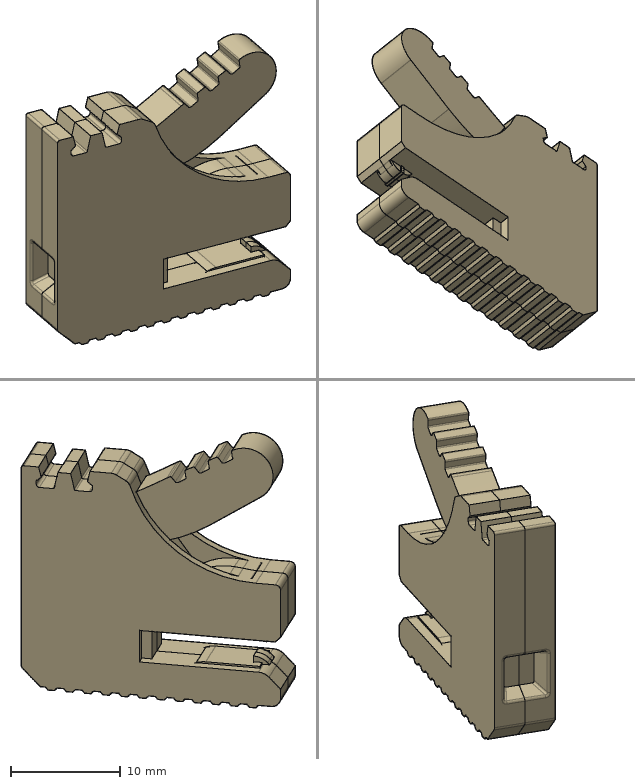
import cadquery as cq
import math


WIDTH = 6.0
LENGTH = 24.42
BODY_TOP = 21.95
INNER_WIDTH = 4.0
BUMP_WIDTH = 2.0
DIAGONAL = math.sqrt(0.5)

FOOT_Z = 0.27
TOE_CHAMFER = 1.8
TOE_RADIUS = 0.4
FRONT_TOP_RADIUS = 0.25
LEDGE_Z = 12.32
LEDGE_RADIUS = 0.5
HEEL_RADIUS = 0.9
SCOOP_RADIUS = 12.5
SCOOP_START_Y = 22.1
SCOOP_END_Y = 10.15
SHOULDER_Y = 8.75
SHOULDER_RADIUS = 1.0
BROW_RADIUS = 0.8

SLOT_TOP = 6.67
SLOT_FLOOR = 3.56
SLOT_END_Y = 11.12
SLOT_RIB = 0.95
UPPER_JAW_CHAMFER = 0.5
LOWER_JAW_CHAMFER = 1.5
LOWER_LIP_RADIUS = 1.4

RIDGE_COUNT = 12
RIDGE_PITCH = 1.724
FIRST_RIDGE_Y = 2.83
RIDGE_BASE = 1.1
RIDGE_TIP = 0.6

NOTCH_Y = 4.06
NOTCH_FLOOR = 19.94
NOTCH_MOUTH_HALF = 2.42
NOTCH_NECK_HALF = 2.17
NOTCH_NECK_Z = 20.95
NOTCH_BULGE_HALF = 2.64
NOTCH_BULGE_Z = 20.55
NOTCH_CORNER_RADIUS = 0.3
TOOTH_BASE_HALF = 0.97
TOOTH_TIP_HALF = 0.6
TOOTH_TOP = 21.57
TOOTH_ROOT_RADIUS = 0.15

POCKET_DEPTH = 1.5
POCKET_LEFT = -2.04
POCKET_RIGHT = 2.33
POCKET_BOTTOM = 4.6
POCKET_TOP = 9.12
POCKET_FLOOR_HALF = 1.49
POCKET_FLOOR_BOTTOM = 5.4
POCKET_FLOOR_TOP = 8.67
POCKET_CORNER_RADIUS = 0.25
POCKET_LIP_RADIUS = 0.3

BUMP_Y = 22.52
BUMP_RADIUS = 1.43
BUMP_Z = 7.35
BUMP_WEDGE_WIDTH = 1.6
BUMP_RIB_LENGTH = 0.3
BUMP_RIB_RISE = 0.07
BUMP_RIB_WIDTH = 2.2
STOP_BACK_Y = 21.39
STOP_TOP = 4.3

STRIP_FRONT_Y = 22.23
STRIP_BEND_Y = 17.15
STRIP_TOP = 3.73
STRIP_THICKNESS = 0.5
STRIP_BEND_RADIUS = 2.5

TIP_Y = 20.92
TIP_Z = 22.58
TIP_RADIUS = 2.56
UNDERSIDE_ANGLE = math.radians(33.7)
UNDERSIDE_LENGTH = 5.7
UNDERSIDE_ARC_RADIUS = 14.9
UNDERSIDE_ARC_SWEEP = math.radians(25)
THUMB_ANGLE = math.radians(27.9)
THUMB_EDGE = (19.53, 24.74)
GROOVE_COUNT = 3
GROOVE_PITCH = 2.48
BACK_START = (13.5, 21.55)
BACK_MIDDLE = (12.1, 20.73)
BACK_END = (9.5, 19.35)
LEVER_INNER_END = (9.2, 16.6)
GROOVE_CORNERS = [
    (0.0, 0.2),
    (-0.15, -0.78),
    (0.62, -1.25),
    (0.82, -1.25),
    (1.6, -0.32),
]
GROOVE_SPAN = 1.29
GROOVE_ROUNDING = 0.12
RIDGE_ROUNDING = 0.15

RECESS_START = (21.5, 12.33)
RECESS_CREST = (19.38, 12.55)
RECESS_DROP = (15.5, 11.5)
RECESS_DROP_MIDDLE = (17.36, 12.37)
RECESS_BACK = (12.5, 15.6)
RECESS_ABOVE = (14.0, 18.0)


def side_profile():
    return cq.Workplane("YZ")


def prism(sketch, width):
    return sketch.extrude(width / 2, both=True)


def polygon_prism(points, width):
    return prism(side_profile().polyline(points).close(), width)


def round_edge(body, y, z, radius):
    """Round the edge that runs along X through (y, z)."""
    return body.edges(cq.selectors.NearestToPointSelector((0, y, z))).fillet(radius)


def scoop_z(y):
    drop = math.sqrt(SCOOP_RADIUS**2 - (SCOOP_START_Y - y) ** 2)
    return LEDGE_Z + SCOOP_RADIUS - drop


def housing_block():
    scoop_middle_y = (SCOOP_START_Y + SCOOP_END_Y) / 2
    outline = (
        side_profile()
        .moveTo(0, FOOT_Z + TOE_CHAMFER)
        .lineTo(0, BODY_TOP)
        .lineTo(SHOULDER_Y, BODY_TOP)
        .lineTo(SCOOP_END_Y, scoop_z(SCOOP_END_Y))
        .threePointArc((scoop_middle_y, scoop_z(scoop_middle_y)), (SCOOP_START_Y, LEDGE_Z))
        .lineTo(LENGTH, LEDGE_Z)
        .lineTo(LENGTH, SLOT_TOP + UPPER_JAW_CHAMFER)
        .lineTo(LENGTH - UPPER_JAW_CHAMFER, SLOT_TOP)
        .lineTo(SLOT_END_Y, SLOT_TOP)
        .lineTo(SLOT_END_Y, SLOT_FLOOR)
        .lineTo(LENGTH - LOWER_JAW_CHAMFER, SLOT_FLOOR)
        .lineTo(LENGTH, SLOT_FLOOR - LOWER_JAW_CHAMFER)
        .lineTo(LENGTH, FOOT_Z)
        .lineTo(TOE_CHAMFER, FOOT_Z)
        .close()
    )
    block = prism(outline, WIDTH)
    block = round_edge(block, 0, FOOT_Z + TOE_CHAMFER, TOE_RADIUS)
    block = round_edge(block, LENGTH - LOWER_JAW_CHAMFER, SLOT_FLOOR, LOWER_LIP_RADIUS)
    block = round_edge(block, 0, BODY_TOP, FRONT_TOP_RADIUS)
    block = round_edge(block, SHOULDER_Y, BODY_TOP, SHOULDER_RADIUS)
    block = round_edge(block, SCOOP_END_Y, scoop_z(SCOOP_END_Y), BROW_RADIUS)
    block = round_edge(block, LENGTH, LEDGE_Z, LEDGE_RADIUS)
    return round_edge(block, LENGTH, FOOT_Z, HEEL_RADIUS)


def grip_ridge(y):
    points = [
        (y - RIDGE_BASE / 2, FOOT_Z),
        (y - RIDGE_TIP / 2, 0),
        (y + RIDGE_TIP / 2, 0),
        (y + RIDGE_BASE / 2, FOOT_Z),
    ]
    return polygon_prism(points, WIDTH)


def top_notch(side):
    """One of the two mirrored notches beside the middle tooth; side is +1 or -1."""
    corners = [
        (0, BODY_TOP),
        (NOTCH_MOUTH_HALF, BODY_TOP),
        (NOTCH_NECK_HALF, NOTCH_NECK_Z),
        (NOTCH_BULGE_HALF, NOTCH_BULGE_Z),
        (NOTCH_BULGE_HALF, NOTCH_FLOOR),
        (TOOTH_BASE_HALF, NOTCH_FLOOR),
        (TOOTH_TIP_HALF, TOOTH_TOP),
        (0, TOOTH_TOP),
    ]
    notch = polygon_prism([(NOTCH_Y + side * y, z) for y, z in corners], WIDTH)
    notch = round_edge(notch, NOTCH_Y + side * NOTCH_BULGE_HALF, NOTCH_FLOOR, NOTCH_CORNER_RADIUS)
    return round_edge(notch, NOTCH_Y + side * TOOTH_BASE_HALF, NOTCH_FLOOR, TOOTH_ROOT_RADIUS)


def front_pocket():
    mouth_width = POCKET_RIGHT - POCKET_LEFT
    mouth_height = POCKET_TOP - POCKET_BOTTOM
    mouth_x = (POCKET_RIGHT + POCKET_LEFT) / 2
    mouth_z = (POCKET_TOP + POCKET_BOTTOM) / 2
    floor_height = POCKET_FLOOR_TOP - POCKET_FLOOR_BOTTOM
    floor_z = (POCKET_FLOOR_TOP + POCKET_FLOOR_BOTTOM) / 2
    pocket = (
        cq.Workplane("XZ")
        .center(mouth_x, mouth_z)
        .rect(mouth_width, mouth_height)
        .workplane(offset=-POCKET_DEPTH)
        .center(-mouth_x, floor_z - mouth_z)
        .rect(2 * POCKET_FLOOR_HALF, floor_height)
        .loft(ruled=True)
    )
    return pocket.edges("not(#Y)").edges("not(|X or |Z)").fillet(POCKET_CORNER_RADIUS)


def clamping_bump():
    """Round bump under the upper jaw, with a wedge on its outer side and a thin raised rib."""
    reach = BUMP_RADIUS * DIAGONAL
    jaw_cut = cq.Workplane("XY").box(WIDTH, LENGTH, SLOT_TOP, centered=(True, False, False))
    barrel = prism(side_profile().center(BUMP_Y, BUMP_Z).circle(BUMP_RADIUS), BUMP_WIDTH)
    wedge = polygon_prism(
        [
            (BUMP_Y, SLOT_TOP),
            (BUMP_Y + reach, BUMP_Z - reach),
            (LENGTH - UPPER_JAW_CHAMFER, SLOT_TOP),
        ],
        BUMP_WEDGE_WIDTH,
    )
    rib_bottom = BUMP_Z - BUMP_RADIUS - BUMP_RIB_RISE
    rib_height = SLOT_TOP - rib_bottom
    rib = prism(
        side_profile().center(BUMP_Y, rib_bottom + rib_height / 2).rect(BUMP_RIB_LENGTH, rib_height),
        BUMP_RIB_WIDTH,
    )
    return barrel.intersect(jaw_cut).union(wedge).union(rib)


def wire_stop():
    """Hook on the lower jaw that carries the 45 degree jaw chamfer on into a rounded top."""
    chamfer_y = LENGTH - LOWER_JAW_CHAMFER
    radius = (chamfer_y + SLOT_FLOOR - STOP_BACK_Y - STOP_TOP) / (2 * DIAGONAL - 1)
    outline = (
        side_profile()
        .moveTo(STOP_BACK_Y, SLOT_FLOOR)
        .lineTo(chamfer_y, SLOT_FLOOR)
        .lineTo(STOP_BACK_Y + radius * DIAGONAL, STOP_TOP - radius * (1 - DIAGONAL))
        .tangentArcPoint((STOP_BACK_Y, STOP_TOP), relative=False)
        .close()
    )
    return prism(outline, BUMP_WIDTH)


def slot_rib():
    outline = side_profile().center(SLOT_END_Y + SLOT_RIB / 2, (SLOT_TOP + SLOT_FLOOR) / 2)
    return prism(outline.rect(SLOT_RIB, SLOT_TOP - SLOT_FLOOR), INNER_WIDTH)


def lever_recess():
    outline = (
        side_profile()
        .moveTo(*RECESS_START)
        .lineTo(*RECESS_CREST)
        .threePointArc(RECESS_DROP_MIDDLE, RECESS_DROP)
        .lineTo(*RECESS_BACK)
        .lineTo(*RECESS_ABOVE)
        .close()
    )
    return prism(outline, INNER_WIDTH)


def make_lever():
    sine = math.sin(UNDERSIDE_ANGLE)
    cosine = math.cos(UNDERSIDE_ANGLE)
    under_start = (TIP_Y + TIP_RADIUS * sine, TIP_Z - TIP_RADIUS * cosine)
    under_end = (under_start[0] - UNDERSIDE_LENGTH * cosine, under_start[1] - UNDERSIDE_LENGTH * sine)
    end_angle = UNDERSIDE_ANGLE - UNDERSIDE_ARC_SWEEP
    arc_end = (
        under_end[0] - UNDERSIDE_ARC_RADIUS * (sine - math.sin(end_angle)),
        under_end[1] - UNDERSIDE_ARC_RADIUS * (math.cos(end_angle) - cosine),
    )
    tip_far = (TIP_Y + TIP_RADIUS * DIAGONAL, TIP_Z + TIP_RADIUS * DIAGONAL)
    outline = (
        side_profile()
        .moveTo(*THUMB_EDGE)
        .threePointArc(tip_far, under_start)
        .lineTo(*under_end)
        .tangentArcPoint(arc_end, relative=False)
        .threePointArc(LEVER_INNER_END, BACK_END)
        .threePointArc(BACK_MIDDLE, BACK_START)
        .close()
    )
    lever = prism(outline, INNER_WIDTH)
    for index in range(GROOVE_COUNT):
        lever = lever.cut(thumb_groove(index))
    for index in range(GROOVE_COUNT):
        start_y, start_z = groove_start(index)
        lever = round_edge(lever, start_y, start_z, RIDGE_ROUNDING)
        lever = round_edge(lever, start_y - GROOVE_SPAN, start_z - GROOVE_SPAN * math.tan(THUMB_ANGLE), RIDGE_ROUNDING)
    return lever


def groove_start(index):
    along = index * GROOVE_PITCH
    return (THUMB_EDGE[0] - along * math.cos(THUMB_ANGLE), THUMB_EDGE[1] - along * math.sin(THUMB_ANGLE))


def thumb_groove(index):
    start_y, start_z = groove_start(index)
    corners = [(start_y - along, start_z + up) for along, up in GROOVE_CORNERS]
    groove = polygon_prism(corners, INNER_WIDTH)
    for y, z in corners[1:4]:
        groove = round_edge(groove, y, z, GROOVE_ROUNDING)
    return groove


def make_contact_strip():
    """Flat strip in the lower jaw whose inner end bends down, cut out around the wire stop."""
    bottom = STRIP_TOP - STRIP_THICKNESS
    bend_reach = math.sqrt(STRIP_BEND_RADIUS**2 - (STRIP_BEND_RADIUS - STRIP_THICKNESS) ** 2)
    outline = (
        side_profile()
        .moveTo(STRIP_FRONT_Y, bottom)
        .lineTo(STRIP_FRONT_Y, STRIP_TOP)
        .lineTo(STRIP_BEND_Y, STRIP_TOP)
        .tangentArcPoint((STRIP_BEND_Y - bend_reach, bottom), relative=False)
        .close()
    )
    return prism(outline, INNER_WIDTH).cut(wire_stop())


def make_housing_halves(lever, contact_strip):
    housing = housing_block()
    for side in (-1, 1):
        housing = housing.cut(top_notch(side))
    housing = housing.cut(front_pocket())
    lip = cq.selectors.BoxSelector(
        (-WIDTH / 2, -POCKET_LIP_RADIUS, POCKET_BOTTOM - POCKET_LIP_RADIUS),
        (WIDTH / 2, POCKET_LIP_RADIUS, POCKET_TOP + POCKET_LIP_RADIUS),
        boundingbox=True,
    )
    housing = housing.edges(lip).fillet(POCKET_LIP_RADIUS)
    for index in range(RIDGE_COUNT):
        housing = housing.union(grip_ridge(FIRST_RIDGE_Y + index * RIDGE_PITCH))
    housing = housing.union(clamping_bump()).union(slot_rib()).union(wire_stop())
    housing = housing.cut(lever_recess()).cut(lever).cut(contact_strip)
    halves = []
    for side in (-1, 1):
        half_space = cq.Workplane("XY").box(WIDTH, 4 * LENGTH, 4 * LENGTH)
        halves.append(housing.intersect(half_space.translate((side * WIDTH / 2, 0, 0))))
    return halves


lever = make_lever()
contact_strip = make_contact_strip()
left_half, right_half = make_housing_halves(lever, contact_strip)

result = cq.Compound.makeCompound(
    [left_half.val(), right_half.val(), lever.val(), contact_strip.val()]
)